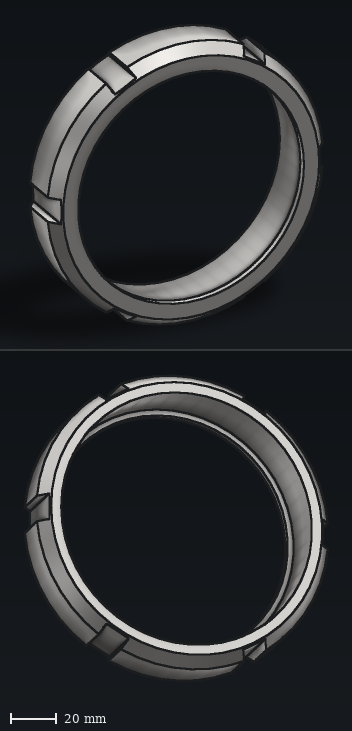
import cadquery as cq

outer_diameter = 134.5
width = 30.0
bore_diameter = 110.0
recess_diameter = 115.4
lip_width = 3.6
chamfer_axial = 6.0
chamfer_radial = 4.8
slot_count = 6
slot_width = 11.7
slot_floor_radius = 63.0

outer_radius = outer_diameter / 2
bore_radius = bore_diameter / 2
recess_radius = recess_diameter / 2
face_radius = outer_radius - chamfer_radial
half_width = width / 2
land_half_width = half_width - chamfer_axial
lip_start = half_width - lip_width


def make_ring():
    """Revolve the chamfered section, with a lip at the +X end of the bore."""
    section = (
        cq.Workplane("XY")
        .moveTo(-half_width, recess_radius)
        .lineTo(-half_width, face_radius)
        .lineTo(-land_half_width, outer_radius)
        .lineTo(land_half_width, outer_radius)
        .lineTo(half_width, face_radius)
        .lineTo(half_width, bore_radius)
        .lineTo(lip_start, bore_radius)
        .lineTo(lip_start, recess_radius)
        .close()
    )
    return section.revolve(360, (0, 0, 0), (1, 0, 0))


def make_slot_cutter(angle):
    """Flat-floored spanner slot across the rim, turned about X from +Y."""
    cutter_height = 2 * (outer_radius - slot_floor_radius)
    return (
        cq.Workplane("XY")
        .box(width, cutter_height, slot_width, centered=(True, False, True))
        .translate((0, slot_floor_radius, 0))
        .rotate((0, 0, 0), (1, 0, 0), angle)
    )


result = make_ring()
for slot_index in range(slot_count):
    result = result.cut(make_slot_cutter(slot_index * 360 / slot_count))